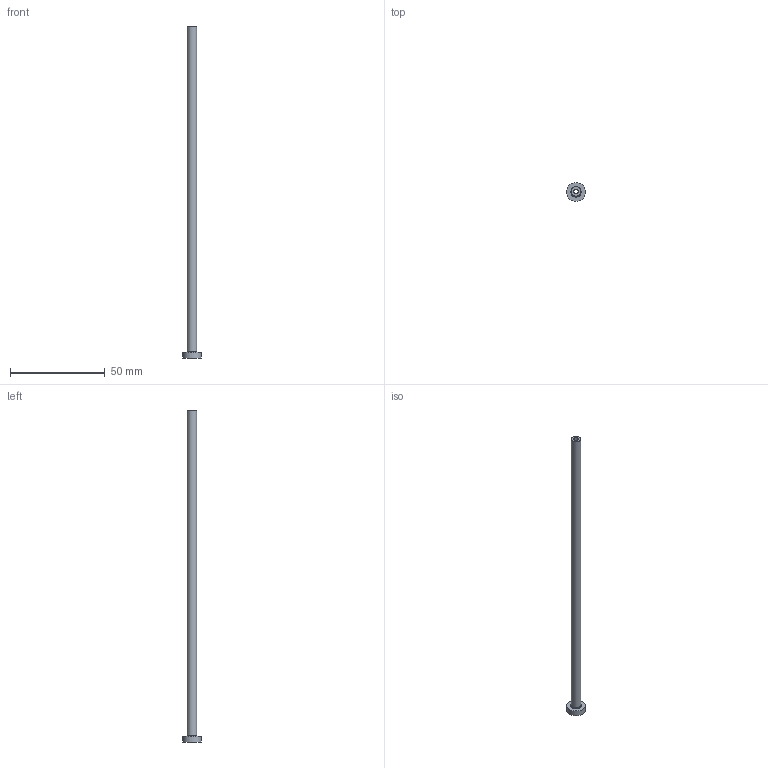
import cadquery as cq

total_length = 175.0
head_diameter = 10.0
head_height = 3.0
sleeve_diameter = 5.0
bore_diameter = 2.5
root_fillet_radius = 0.3


def sleeve_profile():
    """Half section of the solid sleeve in the XZ plane, with the root fillet under the tube."""
    head_radius = head_diameter / 2
    sleeve_radius = sleeve_diameter / 2
    return (
        cq.Workplane("XZ")
        .moveTo(0, 0)
        .lineTo(head_radius, 0)
        .lineTo(head_radius, head_height)
        .lineTo(sleeve_radius + root_fillet_radius, head_height)
        .radiusArc((sleeve_radius, head_height + root_fillet_radius), root_fillet_radius)
        .lineTo(sleeve_radius, total_length)
        .lineTo(0, total_length)
        .close()
    )


def bore():
    """Cylinder that opens the sleeve along its whole length."""
    return cq.Workplane("XY").circle(bore_diameter / 2).extrude(total_length)


sleeve_body = sleeve_profile().revolve(360, (0, 0, 0), (0, 1, 0))
result = sleeve_body.cut(bore())